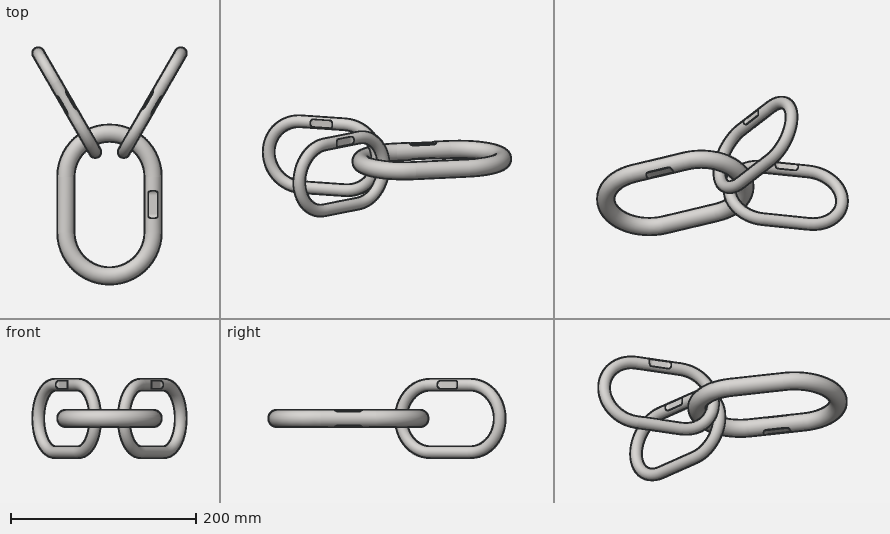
import cadquery as cq

MASTER_WIRE = 19.0
MASTER_INNER_WIDTH = 75.0
MASTER_INNER_LENGTH = 135.0
MASTER_MARK_FLOOR = 20.0
MASTER_MARK_MOUTH = 30.0
MASTER_MARK_WIDTH = 10.0
MASTER_MARK_DEPTH = 2.3

SIDE_WIRE = 13.0
SIDE_INNER_WIDTH = 59.7
SIDE_INNER_LENGTH = 110.0
SIDE_MARK_FLOOR = 16.0
SIDE_MARK_MOUTH = 25.0
SIDE_MARK_WIDTH = 8.5
SIDE_MARK_DEPTH = 2.0
SIDE_SPREAD = 30
SIDE_CENTRE_X = 46.1
SIDE_CENTRE_Y = 110.0


def oval_link(inner_width, inner_length, wire):
    """Round wire swept round an oval: long axis on Y, width on X."""
    bend = (inner_width + wire) / 2
    half_straight = (inner_length - inner_width) / 2
    centreline = (
        cq.Workplane("XY")
        .moveTo(bend, -half_straight)
        .lineTo(bend, half_straight)
        .threePointArc((0, half_straight + bend), (-bend, half_straight))
        .lineTo(-bend, -half_straight)
        .threePointArc((0, -half_straight - bend), (bend, -half_straight))
        .close()
    )
    section = cq.Workplane("XZ", origin=(bend, -half_straight, 0)).circle(wire / 2)
    return section.sweep(centreline)


def mark_cutter(leg_x, wire, floor, mouth, width, depth):
    """Trough with a flat floor and concave rounded ends, cut into the top of the leg at leg_x."""
    crown = wire / 2
    floor_z = crown - depth
    end_run = (mouth - floor) / 2
    end_radius = (end_run**2 + depth**2) / (2 * depth)
    top_half_length = floor / 2 + end_radius
    top_z = floor_z + end_radius
    return (
        cq.Workplane("YZ", origin=(leg_x, 0, 0))
        .moveTo(-floor / 2, floor_z)
        .lineTo(floor / 2, floor_z)
        .tangentArcPoint((top_half_length, top_z), relative=False)
        .lineTo(-top_half_length, top_z)
        .radiusArc((-floor / 2, floor_z), -end_radius)
        .close()
        .extrude(width / 2, both=True)
    )


def marked_link(inner_width, inner_length, wire, floor, mouth, width, depth):
    """Oval link with a marking recess on both faces of its +X leg."""
    leg_x = (inner_width + wire) / 2
    upper_mark = mark_cutter(leg_x, wire, floor, mouth, width, depth)
    lower_mark = upper_mark.mirror("XY")
    return oval_link(inner_width, inner_length, wire).cut(upper_mark).cut(lower_mark).solids()


def side_link(side):
    """Upright side link at +X (side = 1) or -X (side = -1), leaning outward towards +Y."""
    link = marked_link(
        SIDE_INNER_WIDTH, SIDE_INNER_LENGTH, SIDE_WIRE,
        SIDE_MARK_FLOOR, SIDE_MARK_MOUTH, SIDE_MARK_WIDTH, SIDE_MARK_DEPTH,
    )
    return (
        link.rotate((0, 0, 0), (0, 1, 0), -90)
        .rotate((0, 0, 0), (0, 0, 1), -side * SIDE_SPREAD)
        .translate((side * SIDE_CENTRE_X, SIDE_CENTRE_Y, 0))
    )


master_link = marked_link(
    MASTER_INNER_WIDTH, MASTER_INNER_LENGTH, MASTER_WIRE,
    MASTER_MARK_FLOOR, MASTER_MARK_MOUTH, MASTER_MARK_WIDTH, MASTER_MARK_DEPTH,
)
side_links = [side_link(side) for side in (-1, 1)]

result = cq.Compound.makeCompound([master_link.val(), *[link.val() for link in side_links]])